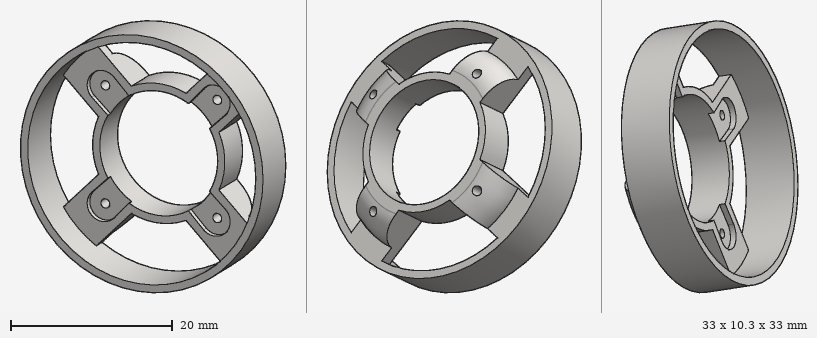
import cadquery as cq
import math

ring_diameter = 33.0
ring_bore = 31.0
ring_depth = 6.75

total_depth = 10.3
hub_bore = 16.0
hub_wall = 1.0
hub_diameter = hub_bore + 2 * hub_wall
arm_plane = 5.0

arm_width = 6.35
arm_angles = (45, 135, 225, 315)
shoulder_radius = 13.53
shoulder_rounding = 4.0
flange_end_radius = (ring_diameter + ring_bore) / 4

screw_radius = 10.75
screw_hole = 1.2
seat_end_radius = 2.1
seat_mouth_width = 4.0
seat_depth = 0.8


def cylinder(diameter, start, end):
    """Solid cylinder on the Y axis between two Y positions."""
    plane = cq.Workplane("XZ", origin=(0, start, 0))
    return plane.circle(diameter / 2).extrude(start - end)


def make_arm():
    """Arm along +X: a turned profile trimmed to the arm width."""
    rounding_start = shoulder_radius - shoulder_rounding
    diagonal = shoulder_rounding * math.sqrt(0.5)
    rounding_base = total_depth - shoulder_rounding
    arc_foot = rounding_start + math.sqrt(shoulder_rounding**2 - (ring_depth - rounding_base) ** 2)
    turned = (
        cq.Workplane("XY")
        .moveTo(0, arm_plane)
        .lineTo(flange_end_radius, arm_plane)
        .lineTo(flange_end_radius, ring_depth)
        .lineTo(arc_foot, ring_depth)
        .threePointArc(
            (rounding_start + diagonal, rounding_base + diagonal),
            (rounding_start, total_depth),
        )
        .lineTo(0, total_depth)
        .close()
        .revolve(360, (0, 0, 0), (0, 1, 0))
    )
    bar = cq.Workplane("XY").box(
        ring_diameter, total_depth, arm_width, centered=(False, False, True)
    )
    return turned.intersect(bar)


def make_screw_cut():
    """Seat pocket and screw hole for the arm along +X."""
    mouth = hub_bore / 2 - hub_wall
    seat = (
        cq.Workplane("XZ", origin=(0, arm_plane, 0))
        .moveTo(mouth, -seat_mouth_width / 2)
        .lineTo(screw_radius, -seat_end_radius)
        .threePointArc((screw_radius + seat_end_radius, 0), (screw_radius, seat_end_radius))
        .lineTo(mouth, seat_mouth_width / 2)
        .close()
        .extrude(-seat_depth)
    )
    hole = cylinder(screw_hole, 0, total_depth).translate((screw_radius, 0, 0))
    return seat.union(hole)


ring = cylinder(ring_diameter, 0, ring_depth).cut(cylinder(ring_bore, 0, ring_depth))
result = ring.union(cylinder(hub_diameter, arm_plane, total_depth))

arm = make_arm()
for angle in arm_angles:
    result = result.union(arm.rotate((0, 0, 0), (0, 1, 0), angle))

result = result.cut(cylinder(hub_bore, 0, total_depth))
screw_cut = make_screw_cut()
for angle in arm_angles:
    result = result.cut(screw_cut.rotate((0, 0, 0), (0, 1, 0), angle))